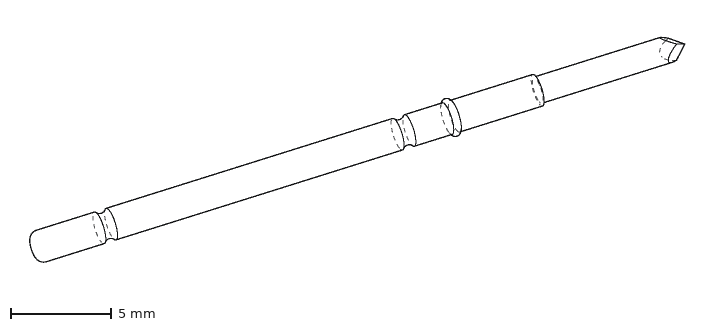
import cadquery as cq
import math

length = 35.4
barrel_radius = 0.832
barrel_length = 27.4
tail_fillet = 0.42
plunger_radius = 0.69

ring_radius = 1.0
ring_center = 22.7
ring_width = 0.42

groove_centers = (3.9, 20.1)
groove_width = 0.65
groove_depth = 0.16

point_face_count = 3
point_angle = 30.0


def rod(radius, start, end):
    """Round bar along +Y between two stations."""
    plane = cq.Plane(origin=(0, start, 0), xDir=(1, 0, 0), normal=(0, 1, 0))
    return cq.Workplane(plane).circle(radius).extrude(end - start)


def arc_band(base_radius, arc_center, arc_width, arc_radius, closing_radius):
    """Ring around Y: an arc bulging from base_radius to arc_radius, closed by a square back."""
    start = arc_center - arc_width / 2
    end = arc_center + arc_width / 2
    section = (
        cq.Workplane("XY")
        .moveTo(base_radius, start)
        .threePointArc((arc_radius, arc_center), (base_radius, end))
        .lineTo(closing_radius, end)
        .lineTo(closing_radius, start)
        .close()
    )
    return section.revolve(360, (0, 0, 0), (0, 1, 0))


def barrel():
    return rod(barrel_radius, 0, barrel_length).faces("<Y").edges().fillet(tail_fillet)


def press_ring():
    return arc_band(ring_radius - ring_width / 2, ring_center, ring_width, ring_radius, plunger_radius)


def crimp_groove(center):
    return arc_band(barrel_radius, center, groove_width, barrel_radius - groove_depth, ring_radius)


def plunger():
    """Round bar ending in a three-sided pyramid whose apex lies on the axis; one face looks toward +X."""
    bar = rod(plunger_radius, barrel_length, length)
    face_run = plunger_radius / math.tan(math.radians(point_angle))
    waste = (
        cq.Workplane("XY")
        .polyline([(0, length), (plunger_radius, length - face_run), (plunger_radius, length)])
        .close()
        .extrude(plunger_radius, both=True)
    )
    for index in range(point_face_count):
        bar = bar.cut(waste.rotate((0, 0, 0), (0, 1, 0), index * 360 / point_face_count))
    return bar


result = barrel().union(press_ring()).union(plunger())
for groove_center in groove_centers:
    result = result.cut(crimp_groove(groove_center))